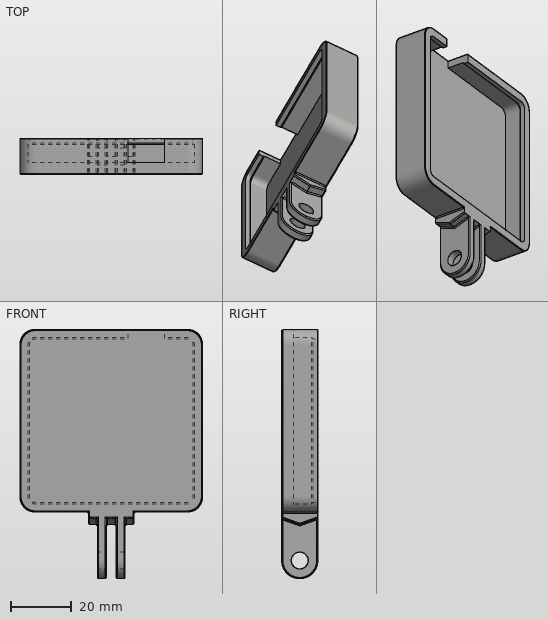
import cadquery as cq

case_side = 60.3
case_depth = 12.0
corner_radius = 5.0
front_wall = 4.0
side_wall = 2.65

edge_chamfer = 0.4
back_rim_chamfer = 0.2

lip_overhang = 0.5
lip_depth = 1.6

notch_width = 12.1
notch_center_x = 11.5

block_width = 15.0
block_edge_drop = 2.0
block_tip_drop = 4.15
prong_thickness = 3.0
prong_center_x = 3.1
prong_drop = 22.0
pivot_hole_diameter = 5.5

front_y = -case_depth / 2
back_y = case_depth / 2
cavity_floor_y = front_y + front_wall
case_top_z = case_side / 2
case_bottom_z = -case_side / 2
block_edge_z = case_bottom_z - block_edge_drop
block_tip_z = case_bottom_z - block_tip_drop
prong_radius = case_depth / 2
pivot_z = case_bottom_z - prong_drop + prong_radius
mount_root_z = case_bottom_z + side_wall
cavity_side = case_side - 2 * side_wall
cavity_radius = corner_radius - side_wall
mouth_side = cavity_side - 2 * lip_overhang
mouth_radius = cavity_radius - lip_overhang


def rounded_square(side, radius, start_y, end_y):
    """Square prism with rounded corners, running along Y."""
    prism = cq.Workplane("XY").box(side, end_y - start_y, side)
    return prism.edges("|Y").fillet(radius).translate((0, (start_y + end_y) / 2, 0))


def make_block():
    """Mount block whose underside is a V with its ridge along X."""
    return (
        cq.Workplane("YZ")
        .moveTo(front_y, mount_root_z)
        .lineTo(front_y, block_edge_z)
        .lineTo(0, block_tip_z)
        .lineTo(back_y, block_edge_z)
        .lineTo(back_y, mount_root_z)
        .close()
        .extrude(block_width / 2, both=True)
    )


def make_prong(center_x):
    """Flat prong with a rounded end, as deep as the case."""
    return (
        cq.Workplane("YZ", origin=(center_x, 0, 0))
        .moveTo(front_y, mount_root_z)
        .lineTo(front_y, pivot_z)
        .threePointArc((0, pivot_z - prong_radius), (back_y, pivot_z))
        .lineTo(back_y, mount_root_z)
        .close()
        .extrude(prong_thickness / 2, both=True)
    )


def make_outer_body():
    """Solid case with its mount, chamfered along the outside edges."""
    body = rounded_square(case_side, corner_radius, front_y, back_y)
    body = body.faces(">Y").chamfer(back_rim_chamfer)
    body = body.union(make_block())
    for side in (-1, 1):
        body = body.union(make_prong(side * prong_center_x))

    body = body.faces("<Y").chamfer(edge_chamfer)

    reach = 2 * edge_chamfer
    joint_zone = cq.selectors.BoxSelector(
        (-block_width / 2 - reach, front_y + reach, block_tip_z),
        (block_width / 2 + reach, back_y - reach, case_bottom_z + reach),
    )
    return body.edges(joint_zone).edges("not |X").chamfer(edge_chamfer)


def make_cavity():
    """Hollow of the tray, narrowed at the mouth by the lip."""
    lip_y = back_y - lip_depth
    hollow = rounded_square(cavity_side, cavity_radius, cavity_floor_y, lip_y)
    hollow = hollow.faces(">Y").chamfer(lip_overhang)
    return hollow.union(rounded_square(mouth_side, mouth_radius, cavity_floor_y, back_y))


def make_notch():
    """Opening in the top wall, from the tray floor to the open side."""
    notch_height = side_wall + lip_overhang
    return (
        cq.Workplane("XY")
        .box(notch_width, back_y - cavity_floor_y, 2 * notch_height)
        .translate((notch_center_x, (cavity_floor_y + back_y) / 2, case_top_z))
    )


def make_pivot_hole():
    """Hole along X through both prongs."""
    return (
        cq.Workplane("YZ")
        .center(0, pivot_z)
        .circle(pivot_hole_diameter / 2)
        .extrude(block_width / 2, both=True)
    )


result = make_outer_body().cut(make_cavity()).cut(make_notch()).cut(make_pivot_hole())